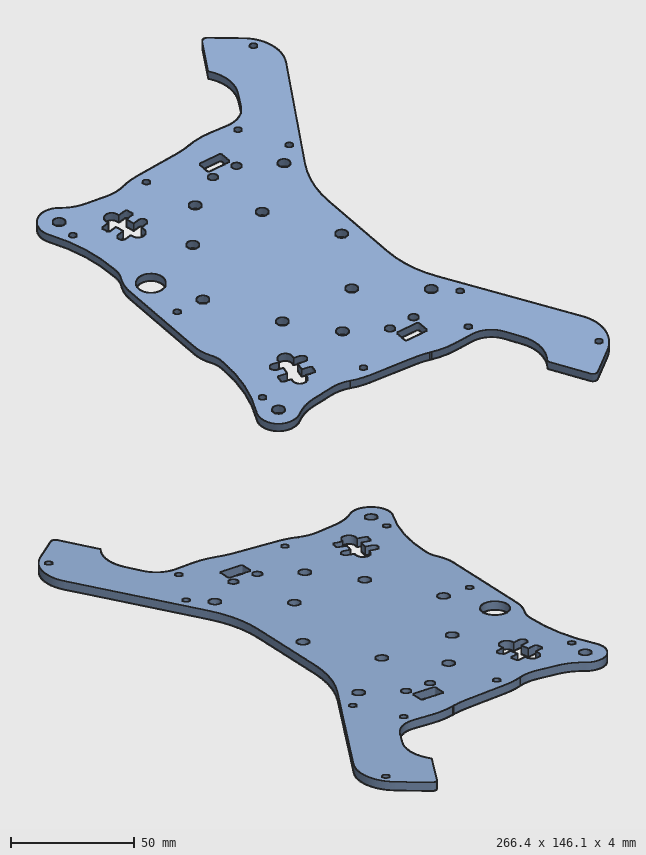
import cadquery as cq
import math

thickness = 4.0

foot_x = 74.5
foot_y = -64.0
foot_radius = 9.0
foot_side_angle = 36.0
foot_front_angle = -116.0

rear_y = 32.0
front_y = -67.4

small_diameter = 3.2
clip_diameter = 4.3
mount_diameter = 5.3
cable_diameter = 12.2
cable_hole = (-21.0, -57.2)

ring_y = -11.5
ring_radius = 35.1
ring_count = 6

clip_y = 9.3
clip_hole_x = 60.2
clip_hole_pitch = 12.0
mount_hole_x = 50.0
mount_hole_pitch = 45.0

window_x = 67.0
window_width = 6.5
window_length = 11.2
window_corner = 0.8

small_holes = [(117.5, 66.5), (58.0, 40.5), (78.3, 29.5), (73.7, -20.2), (64.5, -64.5)]
center_small_hole = (0, -59.6)

cutout_x = 57.0
cutout_y = -43.7
cutout_tilt = 12.0
bar_length = 20.5
bar_width = 6.5
tab_offset = 4.0
tab_width = 4.0
round_tab_length = 16.5
square_tab_length = 15.5
square_tab_corner = 0.8


def foot_point(angle):
    """Point on the rim of the right foot pad."""
    turn = math.radians(angle)
    return (foot_x + foot_radius * math.cos(turn), foot_y + foot_radius * math.sin(turn))


def both_sides(points):
    """The given points together with their mirror images across the YZ plane."""
    return points + [(-x, y) for x, y in points]


def rounded_outline(corners):
    """Closed wire through (point, radius) corners; a radius of 0 leaves the corner sharp."""
    path = None
    for index, (corner, radius) in enumerate(corners):
        here = cq.Vector(*corner)
        to_previous = (cq.Vector(*corners[index - 1][0]) - here).normalized()
        to_next = (cq.Vector(*corners[(index + 1) % len(corners)][0]) - here).normalized()
        half_angle = to_previous.getAngle(to_next) / 2
        tangent_length = radius / math.tan(half_angle)
        start = here + to_previous * tangent_length
        if path is None:
            path = cq.Workplane("XY").moveTo(start.x, start.y)
        else:
            path = path.lineTo(start.x, start.y)
        if radius > 0:
            bisector = (to_previous + to_next).normalized()
            middle = here + bisector * (radius / math.sin(half_angle) - radius)
            end = here + to_next * tangent_length
            path = path.threePointArc((middle.x, middle.y), (end.x, end.y))
    return path.close()


def half_plate():
    """Right half of the plate, from the centre line outwards."""
    corners = [
        ((0, front_y), 0),
        ((0, rear_y), 0),
        ((33.3, rear_y), 49.8),
        ((114.2, 78.5), 17.8),
        ((134.2, 52.7), 2.0),
        ((115.3, 42.0), 0.8),
        ((106.0, 48.5), 17.3),
        ((82.5, 35.7), 12.5),
        ((83.9, 13.0), 34.5),
        ((81.2, 4.3), 37.3),
        ((78.8, -25.3), 32.0),
        ((75.5, -33.8), 18.6),
        ((78.3, -53.8), 21.3),
        (foot_point(foot_side_angle), 0),
        (foot_point(foot_front_angle), 0),
        ((54.8, -64.0), 72.0),
        ((33.3, -64.0), 11.2),
        ((26.0, front_y), 18.0),
    ]
    foot = cq.Workplane("XY").center(foot_x, foot_y).circle(foot_radius).extrude(thickness)
    return rounded_outline(corners).extrude(thickness).union(foot)


def hole_cutter(points, diameter):
    return cq.Workplane("XY").pushPoints(points).circle(diameter / 2).extrude(thickness)


def mount_holes():
    """Ring of holes, the four holes beside the windows and the two foot holes."""
    ring = []
    for index in range(ring_count):
        angle = math.radians(90 + index * 360 / ring_count)
        ring.append((ring_radius * math.cos(angle), ring_y + ring_radius * math.sin(angle)))
    mounts = [(mount_hole_x, clip_y + side * mount_hole_pitch / 2) for side in (1, -1)]
    return hole_cutter(ring + both_sides(mounts + [(foot_x, foot_y)]), mount_diameter)


def clip_holes():
    clips = [(clip_hole_x, clip_y + side * clip_hole_pitch / 2) for side in (1, -1)]
    return hole_cutter(both_sides(clips), clip_diameter)


def windows():
    return (
        cq.Workplane("XY")
        .pushPoints(both_sides([(window_x, clip_y)]))
        .rect(window_width, window_length)
        .extrude(thickness)
        .edges("|Z")
        .fillet(window_corner)
    )


def tabbed_cutout():
    """Right cutout; the round-ended tabs lie towards the centre of the plate."""
    bar = cq.Workplane("XY").slot2D(bar_length, bar_width).extrude(thickness)
    round_tabs = (
        cq.Workplane("XY")
        .center(-tab_offset, 0)
        .slot2D(round_tab_length, tab_width, 90)
        .extrude(thickness)
    )
    square_tabs = (
        cq.Workplane("XY")
        .center(tab_offset, 0)
        .rect(tab_width, square_tab_length)
        .extrude(thickness)
        .edges("|Z")
        .fillet(square_tab_corner)
    )
    cutout = bar.union(round_tabs).union(square_tabs)
    return cutout.rotate((0, 0, 0), (0, 0, 1), -cutout_tilt).translate((cutout_x, cutout_y, 0))


half = half_plate().cut(tabbed_cutout())
plate = half.union(half.mirror("YZ"))
plate = plate.cut(mount_holes())
plate = plate.cut(clip_holes())
plate = plate.cut(windows())
plate = plate.cut(hole_cutter(both_sides(small_holes) + [center_small_hole], small_diameter))
result = plate.cut(hole_cutter([cable_hole], cable_diameter))